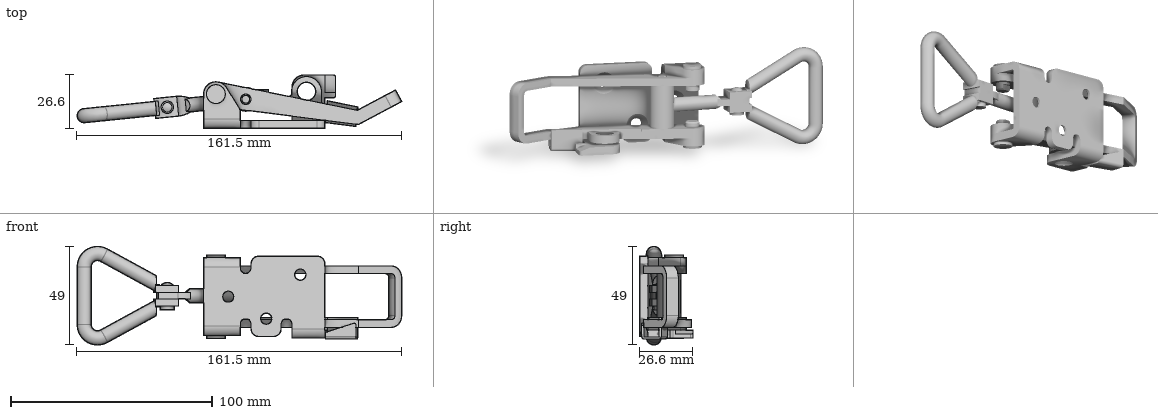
import cadquery as cq
import math


overall_length = 161.5

plate_t = 4.0
bend_r = 4.7
flange_half = 19.4
flange_len = 18.2
flange_straight_y = 9.4
plate_right = 60.4
plate_top = 20.2
plate_bottom = -19.9
tab_corner_r = 3.9
notch_w = 5.3
notch_top_depth_z = 11.6
notch_bottom_depth_z = -11.0
ear_left = 43.9
ear_outer_z = -20.7
ear_top_y = 26.6
ear_corner_r = 6.1
hook_right = 65.7
hook_bottom_y = 15.2
hook_corner_r = 1.3
hook_ramp_y = 18.0
hook_ramp_drop = 2.0
padlock_x, padlock_y = 51.2, 18.4
padlock_r = 4.5
mount_hole_r = 2.7
mount_sink_depth = 2.7
mount_sink_angle = 90
mount_holes = [(12.3, 0), (48.1, 11.0), (31.2, -11.0)]

pivot_x, pivot_y = 6.1, 17.1
pivot_end_r = 6.1
lever_half = flange_half - plate_t
lever_t = 3.9
lever_inner = lever_half - lever_t
knee_top = (76.4, 9.0)
knee_bottom = (77.0, 2.0)
handle_angle = 28.0
tip_bend_r = 6.0
lever_ear_r = 7.5
lever_ear_foot = 1.1

rivet_r = 3.5
rivet_head_r = 4.7
rivet_head_h = 1.5
rivet_inner_z = 7.6
rivet_flat_y = 14.7
rivet_chamfer = 0.6

sheet_t = 1.1
catch_inner = lever_inner - sheet_t
catch_bump_left, catch_bump_right = 25.8, 32.3
clip_bottom_left, clip_bottom_right = 60.5, 75.7
clip_top_left, clip_top_right = 61.5, 76.7
clip_slant_y = 4.5
clip_top_gap = 1.8
clip_bottom_gap = 1.1
clip_outer_z = -21.1
clip_edge_r = 1.5
lip_left_z = -17.8
lip_right_z = -13.2
lip_corner_r = 1.1

trunnion_x, trunnion_y = 21.0, 14.5
trunnion_r = 6.0
journal_r = 2.6
journal_chamfer = 0.6
rod_tilt = 5.8
rod_z = 0.5
rod_r = 3.5
rod_flat_x = -9.0
rod_full_x = -7.0
blade_left = -23.2
blade_taper_x = -13.4
blade_half_h = 5.0
blade_half_t = 1.6
loop_plate_left, loop_plate_right = -24.5, -13.0
loop_plate_outer = 5.2
loop_rivet_x = -18.2
wire_r = 3.5
wire_bend_r = 6.6
wire_bar_x = -59.7
wire_bend_z = 14.4
wire_leg_angle = 28.5
wire_end_x = -23.9
wire_foot_x = -22.5
wire_foot_h = 0.5
loop_rivet_r = 2.3
loop_rivet_head_r = 3.5
loop_rivet_head_h = 2.0
loop_rivet_dome_r = 3.0
loop_rivet_dome_h = 1.5

loop_left = trunnion_x - (trunnion_x - wire_bar_x) * math.cos(math.radians(rod_tilt)) - wire_r
tip_x = loop_left + overall_length


def disc(x, y, r, z_low, z_high):
    """Cylinder along Z between two heights."""
    return cq.Workplane("XY", origin=(x, y, z_low)).circle(r).extrude(z_high - z_low)


def block(x0, x1, y0, y1, z0, z1):
    """Box given by its limits."""
    return cq.Workplane("XY").box(x1 - x0, y1 - y0, z1 - z0, centered=False).translate((x0, y0, z0))


def pivot_tangent(point, side):
    """Point where the line from `point` touches the rounded lever end (side +1 above, -1 below)."""
    dx = point[0] - pivot_x
    dy = point[1] - pivot_y
    angle = math.atan2(dy, dx) + side * math.acos(pivot_end_r / math.hypot(dx, dy))
    return (pivot_x + pivot_end_r * math.cos(angle), pivot_y + pivot_end_r * math.sin(angle))


def along(start, end, x):
    """Height at x of the straight line through two points."""
    return start[1] + (end[1] - start[1]) * (x - start[0]) / (end[0] - start[0])


def tilt(body):
    """Swing a body laid out along X to the rod's angle about the trunnion axis."""
    return body.rotate((trunnion_x, trunnion_y, 0), (trunnion_x, trunnion_y, 1), rod_tilt)


lever_top_start = pivot_tangent(knee_top, 1)
lever_bottom_start = pivot_tangent(knee_bottom, -1)
pivot_far_left = (pivot_x - pivot_end_r, pivot_y)


def lever_top(x):
    """Height of the upper lever edge."""
    return along(lever_top_start, knee_top, x)


def lever_bottom(x):
    """Height of the lower lever edge."""
    return along(lever_bottom_start, knee_bottom, x)


def base_side_flanges():
    """Pair of upright flanges with rounded, slanted ends that carry the pivot rivets."""
    channel = block(0, flange_len, 0, pivot_y + pivot_end_r, -flange_half, flange_half)
    channel = channel.edges("|X and <Y").fillet(bend_r)
    inside = block(0, flange_len, plate_t, pivot_y + pivot_end_r, -lever_half, lever_half)
    inside = inside.edges("|X and <Y").fillet(bend_r - plate_t)
    slant_start = (flange_len, flange_straight_y)
    outline = (
        cq.Workplane("XY", origin=(0, 0, -flange_half))
        .moveTo(0, 0)
        .lineTo(flange_len, 0)
        .lineTo(*slant_start)
        .lineTo(*pivot_tangent(slant_start, 1))
        .threePointArc((pivot_x, pivot_y + pivot_end_r), pivot_far_left)
        .close()
        .extrude(2 * flange_half)
    )
    return channel.cut(inside).intersect(outline)


def base_plate():
    """Flat mounting plate with its corner-rounded side tabs."""
    tab_left = flange_len + notch_w
    flat_half = flange_half - bend_r
    plate = block(0, plate_right, 0, plate_t, -flat_half, flat_half)
    top_tab = block(tab_left, plate_right, 0, plate_t, 0, plate_top)
    top_tab = top_tab.edges("|Y and >Z").fillet(tab_corner_r)
    bottom_tab = block(tab_left, ear_left - notch_w, 0, plate_t, plate_bottom, 0)
    bottom_tab = bottom_tab.edges("|Y and <Z").fillet(tab_corner_r)
    return plate.union(top_tab).union(bottom_tab)


def base_ear():
    """Upright padlock ear with a hooked end and a lead-in ramp on the hook."""
    ear = block(ear_left, plate_right, 0, ear_top_y, ear_outer_z, ear_outer_z + plate_t)
    ear = ear.edges("|Z and >Y and <X").fillet(ear_corner_r)
    foot = block(ear_left, plate_right, 0, plate_t, ear_outer_z, 0)
    hook = block(padlock_x, hook_right, hook_bottom_y, ear_top_y, ear_outer_z, ear_outer_z + plate_t)
    hook = hook.edges("|Z and >X").fillet(hook_corner_r)
    ramp = (
        cq.Workplane("XZ", origin=(0, hook_ramp_y, 0))
        .polyline([
            (plate_right, ear_outer_z + plate_t),
            (hook_right, ear_outer_z + plate_t),
            (hook_right, ear_outer_z + plate_t - hook_ramp_drop),
        ])
        .close()
        .extrude(hook_ramp_y - ear_top_y)
    )
    bent = ear.union(foot).edges("|X and <Y and <Z").fillet(bend_r)
    return bent.union(hook.cut(ramp))


def notch(x_left, depth_z, edge_z):
    """Round-ended bend relief running in from an edge of the plate."""
    r = notch_w / 2
    inward = -1 if depth_z > 0 else 1
    centre_z = depth_z - inward * r
    mid_x = x_left + r
    slot = block(x_left, x_left + notch_w, 0, plate_t, min(centre_z, edge_z), max(centre_z, edge_z))
    end = cq.Workplane("XZ", origin=(0, plate_t, 0)).center(mid_x, centre_z).circle(r).extrude(plate_t)
    return slot.union(end)


def make_base():
    base = base_plate().union(base_side_flanges()).union(base_ear())
    base = base.cut(notch(flange_len, notch_top_depth_z, plate_top))
    for x_left in (flange_len, ear_left - notch_w):
        base = base.cut(notch(x_left, notch_bottom_depth_z, ear_outer_z))
    inner_face = cq.Workplane("XZ", origin=(0, plate_t, 0))
    base = base.cut(inner_face.pushPoints(mount_holes).circle(mount_hole_r).extrude(plate_t))
    sink_r = mount_hole_r + mount_sink_depth * math.tan(math.radians(mount_sink_angle / 2))
    toward_face = cq.Vector(0, -1, 0)
    for x, z in mount_holes:
        sink_centre = cq.Vector(x, plate_t, z)
        sink = cq.Solid.makeCone(sink_r, mount_hole_r, mount_sink_depth, sink_centre, toward_face)
        base = base.cut(cq.Workplane(sink))
    base = base.cut(disc(padlock_x, padlock_y, padlock_r, ear_outer_z, 0))
    return base.cut(disc(pivot_x, pivot_y, rivet_r, -flange_half, flange_half))


def make_lever():
    """Strip bent to a U: two tapering legs, a kinked handle and a closing web at the tip."""
    angle = math.radians(handle_angle)
    direction = cq.Vector(math.cos(angle), math.sin(angle), 0)
    across = cq.Vector(-math.sin(angle), math.cos(angle), 0)
    knee_gap = cq.Vector(knee_top[0] - knee_bottom[0], knee_top[1] - knee_bottom[1], 0)
    tip_bottom = cq.Vector(tip_x, knee_bottom[1] + (tip_x - knee_bottom[0]) * math.tan(angle), 0)
    tip_top = tip_bottom + across * knee_gap.dot(across)
    strip = (
        cq.Workplane("XY", origin=(0, 0, -lever_half))
        .moveTo(*lever_top_start)
        .lineTo(*knee_top)
        .lineTo(tip_top.x, tip_top.y)
        .lineTo(tip_bottom.x, tip_bottom.y)
        .lineTo(*knee_bottom)
        .lineTo(*lever_bottom_start)
        .threePointArc(pivot_far_left, lever_top_start)
        .close()
        .extrude(2 * lever_half)
    )
    strip = strip.edges(cq.selectors.ParallelDirSelector(across)).fillet(tip_bend_r)

    gap_len = 2 * tip_x
    tip_plane = cq.Plane(origin=tip_bottom.toTuple(), xDir=direction.toTuple(), normal=across.toTuple())
    gap = (
        cq.Workplane(tip_plane)
        .center(-lever_t - gap_len / 2, 0)
        .rect(gap_len, 2 * lever_inner)
        .extrude(gap_len, both=True)
        .edges(cq.selectors.ParallelDirSelector(across))
        .fillet(tip_bend_r - lever_t)
    )
    lever = strip.cut(gap).union(lever_ear())
    lever = lever.cut(disc(padlock_x, padlock_y, padlock_r, -lever_half, 0))
    lever = lever.cut(disc(pivot_x, pivot_y, rivet_r, -lever_half, lever_half))
    return lever.cut(trunnion_journals())


def lever_ear():
    """Padlock ear standing on the lower leg."""
    left = padlock_x - lever_ear_r
    right = padlock_x + lever_ear_r
    edge_left = lever_top(left)
    foot_left = left - lever_ear_foot
    return (
        cq.Workplane("XY", origin=(0, 0, -lever_half))
        .moveTo(foot_left, lever_top(foot_left))
        .lineTo(left, edge_left + lever_ear_foot)
        .lineTo(left, padlock_y)
        .threePointArc((padlock_x, padlock_y + lever_ear_r), (right, padlock_y))
        .lineTo(right, lever_top(right) - lever_ear_foot)
        .lineTo(foot_left, edge_left - lever_ear_foot)
        .close()
        .extrude(lever_t)
    )


def make_pivot_rivet(side):
    """Headed rivet through one flange and leg; side is +1 or -1 along Z."""
    shank = disc(pivot_x, pivot_y, rivet_r, rivet_inner_z, flange_half)
    shank = shank.faces("<Z").chamfer(rivet_chamfer)
    head = disc(pivot_x, pivot_y, rivet_head_r, flange_half, flange_half + rivet_head_h)
    flat = block(
        pivot_x - rivet_r, pivot_x + rivet_r, rivet_flat_y - rivet_r, rivet_flat_y, rivet_inner_z, catch_inner
    )
    rivet = shank.union(head).cut(flat)
    return rivet if side > 0 else rivet.mirror("XY")


def catch_arm():
    """Thin plate along the inner face of the lower leg, cut off slantwise at the clip."""
    bump_y = lever_top(catch_bump_left)
    return (
        cq.Workplane("XY", origin=(0, 0, -lever_inner))
        .moveTo(*lever_top_start)
        .lineTo(catch_bump_left, bump_y)
        .lineTo(catch_bump_right, bump_y)
        .lineTo(catch_bump_right, lever_top(catch_bump_right))
        .lineTo(clip_top_left, lever_top(clip_top_left))
        .lineTo(clip_top_left, lever_top(clip_top_left) + clip_top_gap)
        .lineTo(clip_top_right, lever_top(clip_top_right) + clip_top_gap)
        .lineTo(clip_top_right, lever_top(clip_top_right) + clip_top_gap - sheet_t)
        .lineTo(clip_top_left, clip_slant_y)
        .lineTo(clip_top_left, lever_bottom(clip_top_left))
        .lineTo(*lever_bottom_start)
        .threePointArc(pivot_far_left, lever_top_start)
        .close()
        .extrude(sheet_t)
    )


def clip_prism(inset, z_low, z_high):
    """Block along both lever edges over the clip; an inset thins it and runs it out past both ends."""
    corners = [
        (clip_top_left - inset, clip_top_gap - inset),
        (clip_top_right + inset, clip_top_gap - inset),
        (clip_bottom_right + inset, inset - clip_bottom_gap),
        (clip_bottom_left - inset, inset - clip_bottom_gap),
    ]
    top_edge = [(x, lever_top(x) + offset) for x, offset in corners[:2]]
    bottom_edge = [(x, lever_bottom(x) + offset) for x, offset in corners[2:]]
    outline = cq.Workplane("XY", origin=(0, 0, z_low)).polyline(top_edge + bottom_edge).close()
    return outline.extrude(z_high - z_low)


def make_catch():
    """Arm with a sheet clip folded over the upper leg edge and around its outer face."""
    shell = clip_prism(0, clip_outer_z, -lever_inner)
    shell = shell.faces("<Z").edges("<Y or >Y").fillet(clip_edge_r)
    shell = shell.cut(clip_prism(sheet_t, clip_outer_z + sheet_t, -lever_inner))
    leg_middle_y = (knee_top[1] + knee_bottom[1]) / 2
    above_lip = (
        cq.Workplane("XZ", origin=(0, leg_middle_y, 0))
        .moveTo(clip_bottom_left, lip_left_z)
        .lineTo(clip_bottom_right - lip_corner_r, lip_right_z)
        .tangentArcPoint((clip_bottom_right, lip_right_z - lip_corner_r), relative=False)
        .lineTo(clip_top_right, lip_right_z - lip_corner_r)
        .lineTo(clip_top_right, -lever_inner)
        .lineTo(clip_bottom_left, -lever_inner)
        .close()
        .extrude(leg_middle_y)
    )
    catch = shell.cut(above_lip).union(catch_arm())
    catch = catch.cut(disc(pivot_x, pivot_y, rivet_r, -lever_half, 0))
    return catch.cut(trunnion_journals())


def trunnion_barrel():
    return disc(trunnion_x, trunnion_y, trunnion_r, -catch_inner, lever_inner)


def trunnion_journals():
    return disc(trunnion_x, trunnion_y, journal_r, -lever_half, lever_half)


def make_trunnion():
    """Barrel between the legs, with chamfered journals turning in the leg holes."""
    journals = trunnion_journals().faces("<Z or >Z").chamfer(journal_chamfer)
    return trunnion_barrel().union(journals).cut(make_rod())


def make_rod():
    """Round rod screwed into the trunnion, flattened to a blade at the loop end."""
    shank = (
        cq.Workplane("YZ", origin=(rod_flat_x, trunnion_y, rod_z))
        .circle(rod_r)
        .extrude(trunnion_x - rod_flat_x)
    )
    sloped_outline = (
        cq.Workplane("XZ", origin=(0, trunnion_y + rod_r, rod_z))
        .polyline([
            (rod_flat_x, blade_half_t),
            (rod_full_x, rod_r),
            (trunnion_x, rod_r),
            (trunnion_x, -rod_r),
            (rod_full_x, -rod_r),
            (rod_flat_x, -blade_half_t),
        ])
        .close()
        .extrude(2 * rod_r)
    )
    shank = shank.intersect(sloped_outline)
    blade_half = (
        cq.Workplane("XY", origin=(0, trunnion_y, rod_z - blade_half_t))
        .moveTo(blade_left, 0)
        .lineTo(blade_left, blade_half_h)
        .lineTo(blade_taper_x, blade_half_h)
        .tangentArcPoint((rod_full_x, rod_r), relative=False)
        .lineTo(rod_full_x, 0)
        .close()
        .extrude(2 * blade_half_t)
    )
    blade = blade_half.union(blade_half.mirror("XZ", (0, trunnion_y, 0)))
    rod = shank.union(blade)
    return tilt(rod.cut(disc(loop_rivet_x, trunnion_y, loop_rivet_r, -rod_r, rod_r + rod_z)))


def loop_wire():
    """Round wire bent to a triangle, its two leg ends trimmed square to the rod."""
    leg = math.radians(wire_leg_angle)
    bend_x = wire_bar_x + wire_bend_r
    half_turn = (math.pi / 2 + leg) / 2
    bend_end = (bend_x + wire_bend_r * math.sin(leg), wire_bend_z + wire_bend_r * math.cos(leg))
    bend_mid = (bend_x - wire_bend_r * math.cos(half_turn), wire_bend_z + wire_bend_r * math.sin(half_turn))
    leg_end_x = wire_end_x + wire_r
    leg_end_z = bend_end[1] - (leg_end_x - bend_end[0]) * math.tan(leg)
    path = (
        cq.Workplane("XZ", origin=(0, trunnion_y, rod_z))
        .moveTo(leg_end_x, leg_end_z)
        .lineTo(*bend_end)
        .threePointArc(bend_mid, (wire_bar_x, wire_bend_z))
        .lineTo(wire_bar_x, -wire_bend_z)
        .threePointArc((bend_mid[0], -bend_mid[1]), (bend_end[0], -bend_end[1]))
        .lineTo(leg_end_x, -leg_end_z)
    )
    start = cq.Plane(
        origin=(leg_end_x, trunnion_y, rod_z + leg_end_z),
        xDir=(0, 1, 0),
        normal=(-math.cos(leg), 0, math.sin(leg)),
    )
    wire = cq.Workplane(start).circle(wire_r).sweep(path)
    beyond_ends = block(
        wire_end_x, loop_plate_right, trunnion_y - wire_r, trunnion_y + wire_r, -flange_half, flange_half
    )
    return wire.cut(beyond_ends)


def make_loop():
    """Bent wire whose two ends carry the flat plates that grip the rod blade."""
    plates = block(
        loop_plate_left, loop_plate_right, trunnion_y - blade_half_h, trunnion_y + blade_half_h,
        rod_z - loop_plate_outer, rod_z + loop_plate_outer,
    )
    feet = block(
        loop_plate_left, wire_foot_x, trunnion_y - wire_r, trunnion_y + wire_r,
        rod_z - loop_plate_outer - wire_foot_h, rod_z + loop_plate_outer + wire_foot_h,
    )
    slot = block(
        loop_plate_left - 2 * wire_r, loop_plate_right, trunnion_y - blade_half_h, trunnion_y + blade_half_h,
        rod_z - blade_half_t, rod_z + blade_half_t,
    )
    loop = loop_wire().union(plates).union(feet).cut(slot)
    return tilt(loop.cut(disc(loop_rivet_x, trunnion_y, loop_rivet_r, -flange_half, flange_half)))


def make_loop_rivet():
    """Rivet with a flat head below and a domed head above."""
    top = rod_z + loop_plate_outer
    bottom = rod_z - loop_plate_outer
    dome_half_angle = math.atan(loop_rivet_dome_h / loop_rivet_dome_r)
    dome_sphere_r = loop_rivet_dome_r / math.sin(2 * dome_half_angle)
    dome_middle = (
        dome_sphere_r * math.sin(dome_half_angle),
        top + loop_rivet_dome_h - dome_sphere_r * (1 - math.cos(dome_half_angle)),
    )
    profile = (
        cq.Workplane("XZ", origin=(loop_rivet_x, trunnion_y, 0))
        .moveTo(0, bottom - loop_rivet_head_h)
        .lineTo(loop_rivet_head_r, bottom - loop_rivet_head_h)
        .lineTo(loop_rivet_head_r, bottom)
        .lineTo(loop_rivet_r, bottom)
        .lineTo(loop_rivet_r, top)
        .lineTo(loop_rivet_dome_r, top)
        .threePointArc(dome_middle, (0, top + loop_rivet_dome_h))
        .close()
    )
    return tilt(profile.revolve(360, (0, 0, 0), (0, 1, 0)))


base = make_base()
lever = make_lever()
catch = make_catch()
pivot_rivets = [make_pivot_rivet(side) for side in (1, -1)]
trunnion = make_trunnion()
rod = make_rod()
loop = make_loop()
loop_rivet = make_loop_rivet()

result = cq.Compound.makeCompound([
    base.val(),
    lever.val(),
    catch.val(),
    *[rivet.val() for rivet in pivot_rivets],
    trunnion.val(),
    rod.val(),
    loop.val(),
    loop_rivet.val(),
])